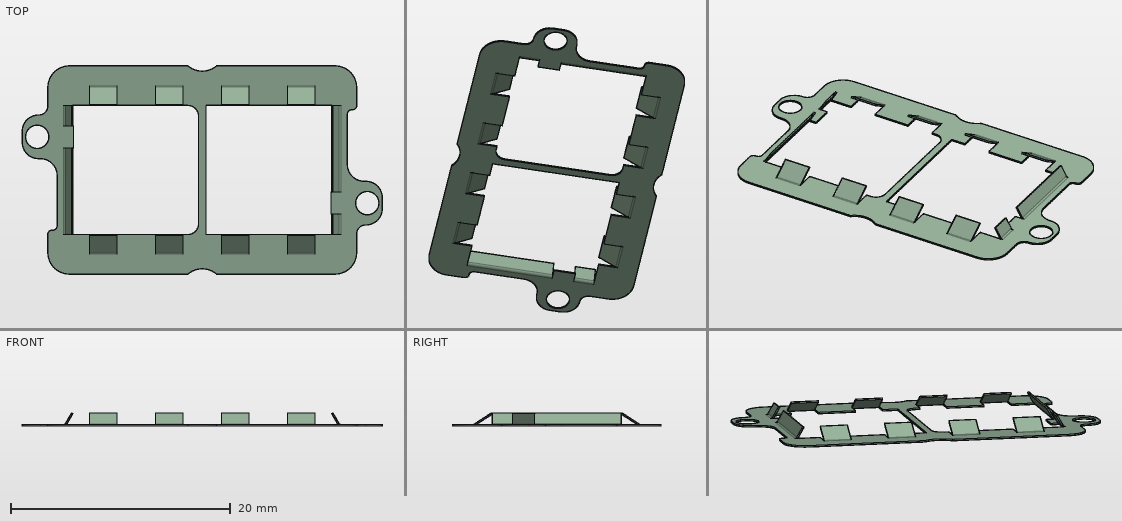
import cadquery as cq
import math

length = 32.8
depth = 19.0
height = 1.2
thickness = 0.15
bend_radius = 0.2

body_length = 28.15
corner_radius = 2.0
waist_inset = 0.85
step_y = -5.48
step_fillet = 0.4

ear_y = 3.02
ear_width = 4.0
ear_corner_radius = 1.5
ear_body_fillet = 0.8
ear_waist_fillet = 1.5
ear_hole_x = 15.02
ear_hole_diameter = 2.1

notch_radius = 2.0
notch_depth = 0.5

opening_half_depth = 5.87
opening_end_x = 12.63
bar_width = 0.7
bar_fillet = 1.0

tongue_tip_x = 11.7
tongue_width = 2.0

end_flap_angle = 60.0
tab_angle = 33.0
tab_width = 2.53
tab_count = 4
tab_spacing = 6.0
tab_root_y = 7.65


def turned(shape):
    """Copy of a shape turned half a turn about Z."""
    return shape.rotate((0, 0, 0), (0, 0, 1), 180)


def plate(x_min, x_max, y_min, y_max):
    """Rectangular piece of flat sheet resting on Z = 0."""
    return cq.Workplane("XY").box(
        x_max - x_min, y_max - y_min, thickness, centered=False
    ).translate((x_min, y_min, 0))


def fillet_upright(shape, x, y, radius):
    """Round the vertical edge of a sheet that stands at (x, y)."""
    reach = 0.03
    corner = cq.selectors.BoxSelector(
        (x - reach, y - reach, -reach), (x + reach, y + reach, thickness + reach)
    )
    return shape.edges("|Z").edges(corner).fillet(radius)


def make_left_half():
    """Left half of the solid sheet with its ear, waist and step."""
    body_x = -body_length / 2
    waist_x = body_x + waist_inset
    ear_x = -length / 2
    ear_top = ear_y + ear_width / 2
    ear_bottom = ear_y - ear_width / 2
    half_depth = depth / 2

    corners = [
        (body_x, half_depth, corner_radius),
        (body_x, ear_top, ear_body_fillet),
        (ear_x, ear_top, ear_corner_radius),
        (ear_x, ear_bottom, ear_corner_radius),
        (waist_x, ear_bottom, ear_waist_fillet),
        (waist_x, step_y, step_fillet),
        (body_x, step_y, step_fillet),
        (body_x, -half_depth, corner_radius),
    ]
    outline = [(0, half_depth)]
    outline += [(x, y) for x, y, radius in corners]
    outline += [(0, -half_depth)]

    half = cq.Workplane("XY").polyline(outline).close().extrude(thickness)
    for x, y, radius in corners:
        half = fillet_upright(half, x, y, radius)

    hole = cq.Workplane("XY").center(-ear_hole_x, ear_y).circle(ear_hole_diameter / 2)
    return half.cut(hole.extrude(thickness))


def make_notches():
    """Round cutters that scallop the middle of both long edges."""
    center_y = depth / 2 - notch_depth + notch_radius
    places = [(0, center_y), (0, -center_y)]
    return cq.Workplane("XY").pushPoints(places).circle(notch_radius).extrude(thickness)


def make_openings():
    """Cutters for both openings; only the left one is rounded at the bar."""
    bar_x = bar_width / 2
    sharp = plate(bar_x, opening_end_x, -opening_half_depth, opening_half_depth)
    rounded = turned(sharp)
    for y in (-opening_half_depth, opening_half_depth):
        rounded = fillet_upright(rounded, -bar_x, y, bar_fillet)
    return sharp.union(rounded)


def make_flap(angle_degrees, width):
    """Flap bent up from an edge at X = 0 towards +X, spanning Y = 0 to width."""
    angle = math.radians(angle_degrees)
    along = (math.cos(angle), math.sin(angle))
    bend_center_z = thickness + bend_radius
    outer_radius = bend_radius + thickness

    def on_bend(radius, turn):
        return (radius * math.sin(turn), bend_center_z - radius * math.cos(turn))

    inner_end = on_bend(bend_radius, angle)
    outer_end = on_bend(outer_radius, angle)
    straight = (height - inner_end[1]) / along[1]

    def tip(start):
        return (start[0] + straight * along[0], start[1] + straight * along[1])

    profile = (
        cq.Workplane("XZ")
        .moveTo(0, 0)
        .threePointArc(on_bend(outer_radius, angle / 2), outer_end)
        .lineTo(*tip(outer_end))
        .lineTo(*tip(inner_end))
        .lineTo(*inner_end)
        .threePointArc(on_bend(bend_radius, angle / 2), (0, thickness))
        .close()
    )
    return profile.extrude(-width)


def make_left_end_flaps():
    """Short and long flap on either side of the left tongue."""
    tongue_top = ear_y + tongue_width / 2
    tongue_bottom = ear_y - tongue_width / 2
    spans = [(tongue_top, opening_half_depth), (-opening_half_depth, tongue_bottom)]
    return [
        make_flap(end_flap_angle, y_max - y_min).translate((-opening_end_x, y_min, 0))
        for y_min, y_max in spans
    ]


def make_left_tongue():
    """Flat tongue reaching from the left end into the opening."""
    half_width = tongue_width / 2
    return plate(-opening_end_x, -tongue_tip_x, ear_y - half_width, ear_y + half_width)


def make_tab_relief(x):
    """Cutter that opens the sheet beneath the front tab centered at x."""
    half_width = tab_width / 2
    return plate(x - half_width, x + half_width, -tab_root_y, -opening_half_depth)


def make_front_tab(x):
    """Tab centered at x, rising from the front edge towards +Y."""
    tab = make_flap(tab_angle, tab_width).rotate((0, 0, 0), (0, 0, 1), 90)
    return tab.translate((x + tab_width / 2, -tab_root_y, 0))


left_half = make_left_half()
frame = left_half.union(turned(left_half))
frame = frame.cut(make_notches()).cut(make_openings())

for index in range(tab_count):
    tab_x = (index - (tab_count - 1) / 2) * tab_spacing
    relief = make_tab_relief(tab_x)
    front_tab = make_front_tab(tab_x)
    frame = frame.cut(relief).cut(turned(relief))
    frame = frame.union(front_tab).union(turned(front_tab))

for piece in [make_left_tongue()] + make_left_end_flaps():
    frame = frame.union(piece).union(turned(piece))

result = frame